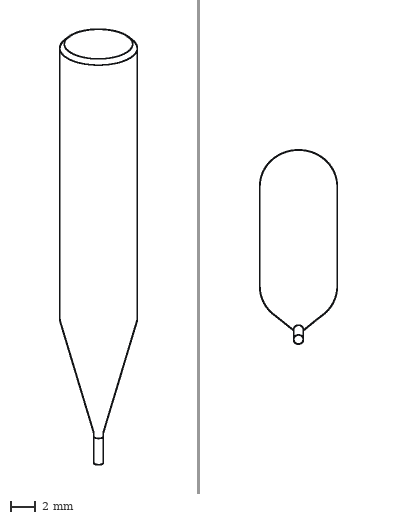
import cadquery as cq

total_length = 38.1
shank_diameter = 6.35
shank_chamfer = 0.4
tip_diameter = 0.8
cutter_length = 2.4
neck_top = 2.75
taper_top = 13.05

shank_radius = shank_diameter / 2
tip_radius = tip_diameter / 2


def make_cutter():
    """Plain cylinder enclosing the cutting end."""
    return cq.Workplane("XY").circle(tip_radius).extrude(cutter_length)


def make_shank():
    """Neck, taper and chamfered shank, revolved about Z."""
    return (
        cq.Workplane("XZ")
        .moveTo(0, cutter_length)
        .lineTo(tip_radius, cutter_length)
        .lineTo(tip_radius, neck_top)
        .lineTo(shank_radius, taper_top)
        .lineTo(shank_radius, total_length - shank_chamfer)
        .lineTo(shank_radius - shank_chamfer, total_length)
        .lineTo(0, total_length)
        .close()
        .revolve(360, (0, 0, 0), (0, 1, 0))
    )


cutter = make_cutter()
shank = make_shank()

result = cq.Compound.makeCompound([cutter.val(), shank.val()])